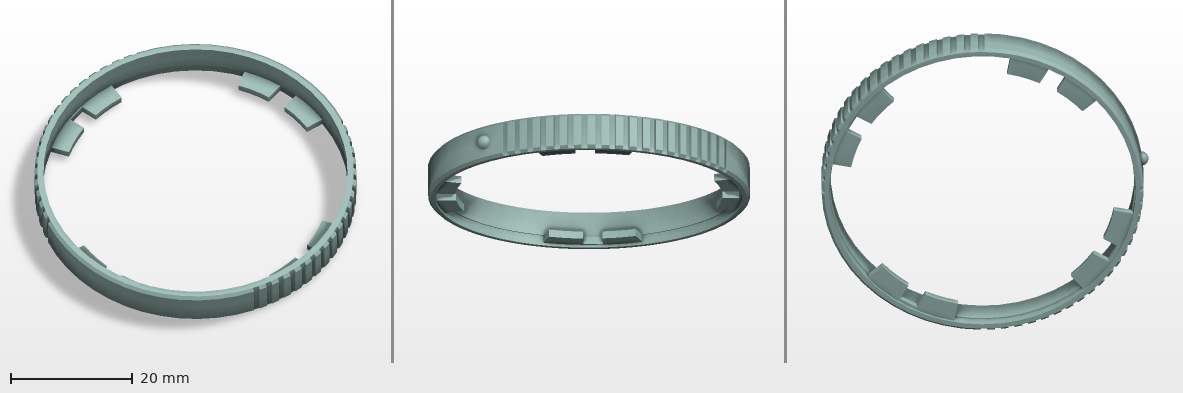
import cadquery as cq
import math

outer_radius = 26.5
groove_depth = 0.5
bore_radius = 50.0 / 2
height = 6.0
edge_chamfer = groove_depth

undercut_radius = 25.2
undercut_height = 1.7

groove_width = 1.0
groove_pitch = 5
grooves_per_side = 19

tab_inner_radius = 22.0
tab_thickness = 1.2
tab_pair_angle = 37.8
slot_width = 3.25
pair_count = 4
first_pair_angle = 75
slot_reach = 24.7
open_slot_reach = undercut_radius

ball_radius = 1.15
ball_angle = 126


def polar_point(radius, angle):
    turn = math.radians(angle)
    return (radius * math.cos(turn), radius * math.sin(turn))


def make_ring():
    blank = cq.Workplane("XY").circle(outer_radius).extrude(height)
    blank = blank.faces("<Z or >Z").chamfer(edge_chamfer)
    bore = cq.Workplane("XY").circle(bore_radius).extrude(height)
    undercut = cq.Workplane("XY").circle(undercut_radius).extrude(undercut_height)
    return blank.cut(bore).cut(undercut)


def make_grooves():
    cutter = cq.Workplane("XY").box(2 * groove_depth, groove_width, height, centered=(True, True, False))
    cutter = cutter.translate((outer_radius, 0, 0))
    grooves = cq.Workplane("XY")
    half_span = groove_pitch * (grooves_per_side - 1) / 2
    for side_angle in (0, 180):
        for index in range(grooves_per_side):
            angle = side_angle - half_span + index * groove_pitch
            grooves = grooves.add(cutter.rotate((0, 0, 0), (0, 0, 1), angle))
    return grooves.combine()


def make_tab_pair(middle_angle, reach):
    root_radius = (undercut_radius + outer_radius - groove_depth) / 2
    half_angle = tab_pair_angle / 2
    sector = (
        cq.Workplane("XY")
        .moveTo(*polar_point(tab_inner_radius, -half_angle))
        .threePointArc((tab_inner_radius, 0), polar_point(tab_inner_radius, half_angle))
        .lineTo(*polar_point(root_radius, half_angle))
        .threePointArc((root_radius, 0), polar_point(root_radius, -half_angle))
        .close()
        .extrude(tab_thickness)
    )
    slot = cq.Workplane("XY").box(reach, slot_width, tab_thickness, centered=(False, True, False))
    pair = sector.cut(slot).translate((0, 0, undercut_height - tab_thickness))
    return pair.rotate((0, 0, 0), (0, 0, 1), middle_angle)


def make_ball():
    x, y = polar_point(outer_radius, ball_angle)
    ball = cq.Workplane("XY").sphere(ball_radius).translate((x, y, height / 2))
    return ball.cut(cq.Workplane("XY").circle(bore_radius).extrude(height))


result = make_ring().cut(make_grooves())
for pair in range(pair_count):
    reach = open_slot_reach if pair == 0 else slot_reach
    pair_angle = first_pair_angle + pair * 360 / pair_count
    result = result.union(make_tab_pair(pair_angle, reach))
result = result.union(make_ball())